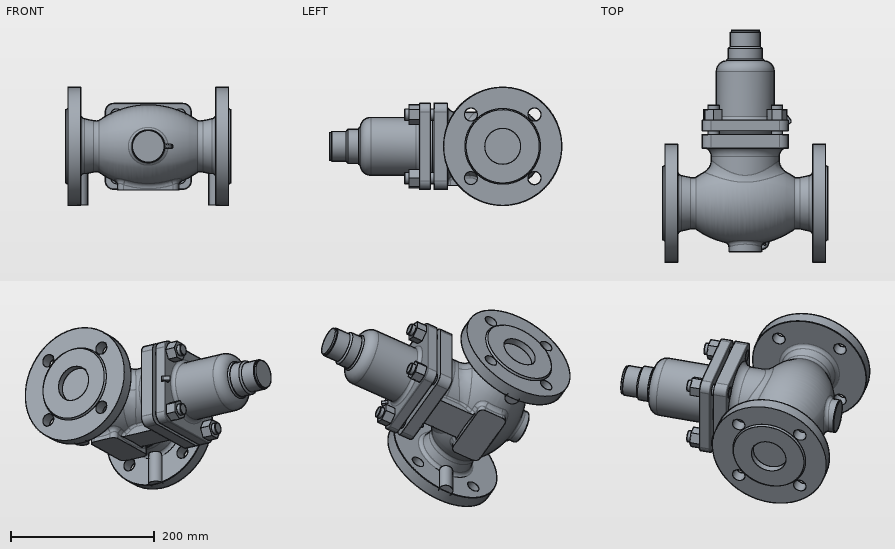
import cadquery as cq
import math


FACE_TO_FACE = 230.0
FLANGE_DIA = 165.0
FLANGE_THICKNESS = 18.0
FLANGE_EDGE_ROUND = 0.6
RAISED_FACE_HEIGHT = 3.0
RAISED_FACE_DIA = 102.0
RAISED_FACE_BASE_DIA = 105.5
BOLT_CIRCLE_DIA = 125.0
FLANGE_HOLE_DIA = 18.0
BORE_DIA = 50.0
BORE_DEPTH = 10.0

END_X = FACE_TO_FACE / 2
FLANGE_FRONT_X = END_X - RAISED_FACE_HEIGHT
FLANGE_BACK_X = FLANGE_FRONT_X - FLANGE_THICKNESS
BOLT_OFFSET = BOLT_CIRCLE_DIA / 2 * math.cos(math.radians(45))
CORNER_SIGNS = [(sx, sz) for sx in (-1, 1) for sz in (-1, 1)]

BODY_RADIUS = 58.0
BODY_ARC_RADIUS = 119.0
WAIST_X = 68.6
PIPE_CONE_SMALL_X = 76.3
PIPE_CONE_SMALL_RADIUS = 36.0
PIPE_CONE_LARGE_X = 89.0
PIPE_CONE_LARGE_RADIUS = 38.7
FLANGE_FILLET_RADIUS = 43.5

NECK_RADIUS = 47.5
NECK_BODY_FILLET = 19.0
NECK_FLARE_RADIUS = 54.0
NECK_FLARE_START_Y = 65.0

PLATE_SIZE = 120.0
PLATE_CORNER_RADIUS = 12.0
PLATE_EDGE_ROUND = 1.0
LOWER_PLATE_Y = 76.5
LOWER_PLATE_THICKNESS = 19.0
UPPER_PLATE_Y = 100.5
UPPER_PLATE_THICKNESS = 15.5
LOWER_PLATE_TOP_Y = LOWER_PLATE_Y + LOWER_PLATE_THICKNESS
UPPER_PLATE_TOP_Y = UPPER_PLATE_Y + UPPER_PLATE_THICKNESS
SPIGOT_DIA = 91.8
SPIGOT_TOP_Y = 97.8
GASKET_DIA = 88.0

STUD_DIA = 16.0
STUD_TOP_Y = 136.5
STUD_PROTRUSION = 0.5
STUD_END_Y = LOWER_PLATE_Y - STUD_PROTRUSION
STUD_TIP_CHAMFER = 0.65
NUT_WIDTH = 24.0
NUT_HEIGHT = 14.5
NUT_CORNER_DIA = NUT_WIDTH / math.cos(math.radians(30))

HOUSING_RADIUS = 40.5
HOUSING_FOOT_FILLET = 5.0
DOME_RADIUS = 15.0
DOME_TOP_Y = 198.5
COLLAR_RADIUS = 25.0
COLLAR_TOP_Y = 201.0
COLLAR_FLARE = 1.0
STEM_RADIUS = 24.0
STEM_TOP_Y = 215.5
CAP_RADIUS = 21.0
CAP_BOTTOM_Y = 218.0
CAP_TOP_Y = 238.5
CAP_CHAMFER = 0.8
TIP_RADIUS = 19.5
TIP_TOP_Y = 241.0

PLUG_DIA = 46.0
PLUG_END_Y = -68.0
PLUG_CHAMFER = 1.0
PLUG_FILLET = 6.0

PAD_LENGTH = 85.0
PAD_WIDTH = 43.0
PAD_BOTTOM_Z = -61.0
PAD_CORNER_RADIUS = 8.0
PAD_BODY_FILLET = 8.0
WEB_HALF_WIDTH = 23.0
WEB_BOTTOM_Z = -54.7
WEB_BODY_FILLET = 4.0
WEB_PLATE_FILLET = 4.0
FOOT_DIA = 20.0
FOOT_BOTTOM_Z = -82.0

LUG_INNER_X = 20.0
LUG_ROOT_Y = -50.0
LUG_ROOT_X = 36.0
LUG_FLAT_Y = -64.5
LUG_FLAT_X = 24.0
LUG_ARC_MID = (30.5, -61.0)
LUG_ARC_END = (33.0, -55.0)
LUG_HOLE_CENTER = (27.0, -57.0)
BONNET_LUG_OUTLINE = [
    (52.0, 110.0),
    (60.0, 110.0),
    (63.8, 112.5),
    (63.8, 115.5),
    (58.0, 123.5),
    (52.0, UPPER_PLATE_TOP_Y),
]
LUG_THICKNESS = 6.0
LUG_EDGE_ROUND = 2.0
LUG_HOLE_DIA = 2.6

SELECT_MARGIN = 1.0


def cylinder_y(radius, y_start, y_end, x=0.0, z=0.0):
    """Cylinder along +Y between two Y levels."""
    base = cq.Workplane("XZ", origin=(x, y_start, z))
    return base.circle(radius).extrude(y_start - y_end)


def make_pipe():
    """Bulged barrel, and both pipe ends with their flanges, revolved about X."""
    arc_rise = math.sqrt(BODY_ARC_RADIUS**2 - WAIST_X**2)
    waist_radius = BODY_RADIUS - BODY_ARC_RADIUS + arc_rise
    waist_slope = -WAIST_X / arc_rise
    cone_tangent = (
        PIPE_CONE_LARGE_X - PIPE_CONE_SMALL_X,
        PIPE_CONE_LARGE_RADIUS - PIPE_CONE_SMALL_RADIUS,
    )
    barrel = (
        cq.Workplane("XY")
        .moveTo(-WAIST_X, 0)
        .lineTo(-WAIST_X, waist_radius)
        .threePointArc((0, BODY_RADIUS), (WAIST_X, waist_radius))
        .lineTo(WAIST_X, 0)
        .close()
        .revolve(360, (0, 0, 0), (1, 0, 0))
    )
    pipe_end = (
        cq.Workplane("XY")
        .moveTo(WAIST_X, 0)
        .lineTo(WAIST_X, waist_radius)
        .spline(
            [(PIPE_CONE_SMALL_X, PIPE_CONE_SMALL_RADIUS)],
            tangents=[(1, waist_slope), cone_tangent],
            includeCurrent=True,
        )
        .lineTo(PIPE_CONE_LARGE_X, PIPE_CONE_LARGE_RADIUS)
        .tangentArcPoint((FLANGE_BACK_X, FLANGE_FILLET_RADIUS), relative=False)
        .lineTo(FLANGE_BACK_X, FLANGE_DIA / 2 - FLANGE_EDGE_ROUND)
        .lineTo(FLANGE_BACK_X + FLANGE_EDGE_ROUND, FLANGE_DIA / 2)
        .lineTo(FLANGE_FRONT_X, FLANGE_DIA / 2)
        .lineTo(FLANGE_FRONT_X, RAISED_FACE_BASE_DIA / 2)
        .lineTo(END_X, RAISED_FACE_DIA / 2)
        .lineTo(END_X, 0)
        .close()
        .revolve(360, (0, 0, 0), (1, 0, 0))
    )
    return barrel, pipe_end.union(pipe_end.mirror("YZ"))


def make_pad():
    """Round-cornered support pad, reaching up to the pipe axis."""
    pad = cq.Workplane("XY").rect(PAD_LENGTH, PAD_WIDTH).extrude(PAD_BOTTOM_Z)
    return pad.edges("|Z").fillet(PAD_CORNER_RADIUS)


def make_web():
    """Web between the pad and the lower plate, flaring where it meets the plate."""
    mid_offset = WEB_PLATE_FILLET * (1 - math.cos(math.radians(45)))
    wide = WEB_HALF_WIDTH + WEB_PLATE_FILLET
    mid = WEB_HALF_WIDTH + mid_offset
    flare_start_y = LOWER_PLATE_Y - WEB_PLATE_FILLET
    flare_mid_y = LOWER_PLATE_Y - mid_offset
    return (
        cq.Workplane("XY")
        .moveTo(-WEB_HALF_WIDTH, 0)
        .lineTo(WEB_HALF_WIDTH, 0)
        .lineTo(WEB_HALF_WIDTH, flare_start_y)
        .threePointArc((mid, flare_mid_y), (wide, LOWER_PLATE_Y))
        .lineTo(-wide, LOWER_PLATE_Y)
        .threePointArc((-mid, flare_mid_y), (-WEB_HALF_WIDTH, flare_start_y))
        .close()
        .extrude(WEB_BOTTOM_Z)
    )


def make_plug():
    """Round drain plug along -Y with a chamfered end."""
    plug = cylinder_y(PLUG_DIA / 2, PLUG_END_Y, 0)
    return plug.faces("<Y").chamfer(PLUG_CHAMFER)


def make_neck():
    """Round neck rising from the pipe axis and flaring out below the lower plate."""
    return (
        cq.Workplane("XY")
        .lineTo(NECK_RADIUS, 0)
        .lineTo(NECK_RADIUS, NECK_FLARE_START_Y)
        .tangentArcPoint((NECK_FLARE_RADIUS, LOWER_PLATE_Y), relative=False)
        .lineTo(0, LOWER_PLATE_Y)
        .close()
        .revolve(360, (0, 0, 0), (0, 1, 0))
    )


def make_feet():
    """Half-round vertical feet on the inner faces of the flanges."""
    return (
        cq.Workplane("XY")
        .pushPoints([(-FLANGE_BACK_X, 0), (FLANGE_BACK_X, 0)])
        .circle(FOOT_DIA / 2)
        .extrude(FOOT_BOTTOM_Z)
    )


def make_plate(y_start, thickness, rounded_faces):
    """Square plate with round corners and rounded rims on the chosen faces."""
    plate = (
        cq.Workplane("XZ", origin=(0, y_start, 0))
        .rect(PLATE_SIZE, PLATE_SIZE)
        .extrude(-thickness)
        .edges("|Y")
        .fillet(PLATE_CORNER_RADIUS)
    )
    return plate.faces(rounded_faces).edges().fillet(PLATE_EDGE_ROUND)


def make_fastener(sx, sz):
    """Stud with its nut; neighbouring nuts are turned by 90 degrees."""
    x = sx * BOLT_OFFSET
    z = sz * BOLT_OFFSET
    stud = cylinder_y(STUD_DIA / 2, STUD_END_Y, STUD_TOP_Y, x, z)
    stud = stud.faces(">Y").chamfer(STUD_TIP_CHAMFER)
    turn = 0 if sx == sz else 90
    nut = (
        cq.Workplane("XZ", origin=(x, UPPER_PLATE_TOP_Y, z))
        .transformed(rotate=(0, 0, turn))
        .polygon(6, NUT_CORNER_DIA)
        .extrude(-NUT_HEIGHT)
    )
    return stud.union(nut)


def make_bonnet():
    """Spring housing, collar, stem and cap, revolved about Y."""
    dome_mid = DOME_RADIUS * math.cos(math.radians(45))
    foot_mid = HOUSING_FOOT_FILLET * (1 - math.cos(math.radians(45)))
    foot_top_y = UPPER_PLATE_TOP_Y + HOUSING_FOOT_FILLET
    dome_start_y = DOME_TOP_Y - DOME_RADIUS
    dome_end_radius = HOUSING_RADIUS - DOME_RADIUS
    return (
        cq.Workplane("XY")
        .moveTo(0, UPPER_PLATE_TOP_Y)
        .lineTo(HOUSING_RADIUS + HOUSING_FOOT_FILLET, UPPER_PLATE_TOP_Y)
        .threePointArc(
            (HOUSING_RADIUS + foot_mid, UPPER_PLATE_TOP_Y + foot_mid),
            (HOUSING_RADIUS, foot_top_y),
        )
        .lineTo(HOUSING_RADIUS, dome_start_y)
        .threePointArc(
            (dome_end_radius + dome_mid, dome_start_y + dome_mid),
            (dome_end_radius + COLLAR_FLARE, DOME_TOP_Y),
        )
        .lineTo(COLLAR_RADIUS, COLLAR_TOP_Y)
        .lineTo(STEM_RADIUS, COLLAR_TOP_Y)
        .lineTo(STEM_RADIUS, STEM_TOP_Y)
        .lineTo(CAP_RADIUS, CAP_BOTTOM_Y)
        .lineTo(CAP_RADIUS, CAP_TOP_Y - CAP_CHAMFER)
        .lineTo(CAP_RADIUS - CAP_CHAMFER, CAP_TOP_Y)
        .lineTo(TIP_RADIUS, CAP_TOP_Y)
        .lineTo(TIP_RADIUS, TIP_TOP_Y)
        .lineTo(0, TIP_TOP_Y)
        .close()
        .revolve(360, (0, 0, 0), (0, 1, 0))
    )


def make_plug_lug():
    """Drilled lug with rounded edges beside the drain plug."""
    lug = (
        cq.Workplane("XY", origin=(0, 0, -LUG_THICKNESS / 2))
        .moveTo(LUG_INNER_X, LUG_FLAT_Y)
        .lineTo(LUG_FLAT_X, LUG_FLAT_Y)
        .threePointArc(LUG_ARC_MID, LUG_ARC_END)
        .lineTo(LUG_ROOT_X, LUG_ROOT_Y)
        .lineTo(LUG_INNER_X, LUG_ROOT_Y)
        .close()
        .extrude(LUG_THICKNESS)
        .faces("<Z or >Z")
        .edges()
        .fillet(LUG_EDGE_ROUND)
    )
    hole = (
        cq.Workplane("XY")
        .center(*LUG_HOLE_CENTER)
        .circle(LUG_HOLE_DIA / 2)
        .extrude(LUG_THICKNESS, both=True)
    )
    return lug.cut(hole)


def make_bonnet_lug():
    """Lug on the +X side of the upper plate."""
    return (
        cq.Workplane("XY", origin=(0, 0, -LUG_THICKNESS / 2))
        .polyline(BONNET_LUG_OUTLINE)
        .close()
        .extrude(LUG_THICKNESS)
    )


def edges_inside(solid, x_range, y_range, z_range):
    """Edges lying wholly inside the box given by three (low, high) ranges."""
    low, high = zip(x_range, y_range, z_range)
    return solid.edges(cq.selectors.BoxSelector(low, high, boundingbox=True))


def blend_ring(solid, x_limit, y_range, z_range, radius):
    """Fillet the free-form edges where a boss meets the body."""
    near = edges_inside(solid, (-x_limit, x_limit), y_range, z_range)
    return solid.newObject(near.edges("%BSPLINE").vals()).fillet(radius)


def blend_web(solid):
    """Fillet both sides of the web against the pad, body and neck."""
    y_range = (0, LOWER_PLATE_Y)
    z_range = (WEB_BOTTOM_Z + SELECT_MARGIN, 0)
    edges = []
    for side_x in (-WEB_HALF_WIDTH, WEB_HALF_WIDTH):
        x_range = (side_x - SELECT_MARGIN, side_x + SELECT_MARGIN)
        edges += edges_inside(solid, x_range, y_range, z_range).vals()
    return solid.newObject(edges).fillet(WEB_BODY_FILLET)


def make_body():
    """Cast body: barrel, neck, drain plug, pad, web, pipe ends and feet."""
    all_z = (-FLANGE_DIA, FLANGE_DIA)
    barrel, pipe_ends = make_pipe()
    body = barrel.union(make_neck())
    neck_y = (0, NECK_FLARE_START_Y)
    body = blend_ring(body, NECK_RADIUS + SELECT_MARGIN, neck_y, all_z, NECK_BODY_FILLET)
    body = body.union(make_plug())
    body = blend_ring(body, PLUG_DIA / 2 + SELECT_MARGIN, (PLUG_END_Y, 0), all_z, PLUG_FILLET)
    body = body.union(make_pad())
    pad_y = (-PAD_WIDTH / 2 - SELECT_MARGIN, PAD_WIDTH / 2 + SELECT_MARGIN)
    pad_z = (PAD_BOTTOM_Z, -WEB_HALF_WIDTH)
    body = blend_ring(body, PAD_LENGTH / 2 + SELECT_MARGIN, pad_y, pad_z, PAD_BODY_FILLET)
    body = blend_web(body.union(make_web()))
    return body.union(pipe_ends).union(make_feet())


def make_bonnet_joint():
    """Both square plates, the spigot and gasket between them, studs and nuts."""
    spigot = cylinder_y(SPIGOT_DIA / 2, LOWER_PLATE_TOP_Y, SPIGOT_TOP_Y)
    gasket = cylinder_y(GASKET_DIA / 2, SPIGOT_TOP_Y, UPPER_PLATE_Y)
    joint = make_plate(LOWER_PLATE_Y, LOWER_PLATE_THICKNESS, "<Y").union(spigot).union(gasket)
    joint = joint.union(make_plate(UPPER_PLATE_Y, UPPER_PLATE_THICKNESS, "<Y or >Y"))
    for sx, sz in CORNER_SIGNS:
        joint = joint.union(make_fastener(sx, sz))
    return joint


def make_flange_cuts():
    """Bolt holes and blind bore of both flanges."""
    face = cq.Workplane("YZ", origin=(-END_X, 0, 0))
    hole_centers = [(sy * BOLT_OFFSET, sz * BOLT_OFFSET) for sy, sz in CORNER_SIGNS]
    holes = (
        face.pushPoints(hole_centers)
        .circle(FLANGE_HOLE_DIA / 2)
        .extrude(RAISED_FACE_HEIGHT + FLANGE_THICKNESS)
    )
    cuts = holes.union(face.circle(BORE_DIA / 2).extrude(BORE_DEPTH))
    return cuts.union(cuts.mirror("YZ"))


valve = make_body().union(make_bonnet_joint()).union(make_bonnet())
valve = valve.union(make_plug_lug()).union(make_bonnet_lug())
result = valve.cut(make_flange_cuts())